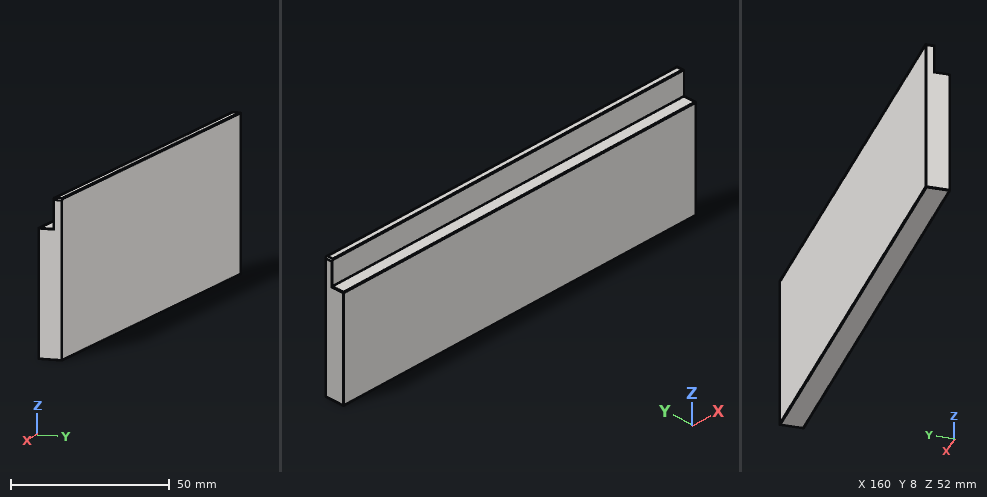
import cadquery as cq

length = 160.0
thickness = 8.0
height = 52.0

lip_thickness = 2.9
lip_height = 10.0

edge_chamfer = 0.2
lip_end_bevel = 0.6

shoulder_height = height - lip_height
step_depth = thickness - lip_thickness


def stepped_panel():
    """Full-length L-shaped panel, centred in X, with its front face at Y = 0."""
    profile = [
        (0, 0),
        (thickness, 0),
        (thickness, height),
        (step_depth, height),
        (step_depth, shoulder_height),
        (0, shoulder_height),
    ]
    return cq.Workplane("YZ").polyline(profile).close().extrude(length / 2, both=True)


def break_long_edges(panel):
    """Chamfer the lengthwise outer edges, leaving the inside corner sharp."""
    inside_corner = cq.selectors.BoxSelector(
        (-length, step_depth - edge_chamfer, shoulder_height - edge_chamfer),
        (length, step_depth + edge_chamfer, shoulder_height + edge_chamfer),
    )
    long_edges = cq.selectors.ParallelDirSelector(cq.Vector(1, 0, 0)) - inside_corner
    return panel.edges(long_edges).chamfer(edge_chamfer)


def break_end_edges(panel):
    """Chamfer the outline of both end faces."""
    return panel.faces("<X or >X").edges().chamfer(edge_chamfer)


def bevel_lip_ends(panel):
    """Bevel the two top corners of the lip, where it meets the end faces."""
    for side in (-1, 1):
        end = side * length / 2
        corner = [
            (end, height),
            (end - side * lip_end_bevel, height),
            (end, height - lip_end_bevel),
        ]
        wedge = cq.Workplane("XZ").polyline(corner).close().extrude(-thickness)
        panel = panel.cut(wedge)
    return panel


result = bevel_lip_ends(break_end_edges(break_long_edges(stepped_panel())))